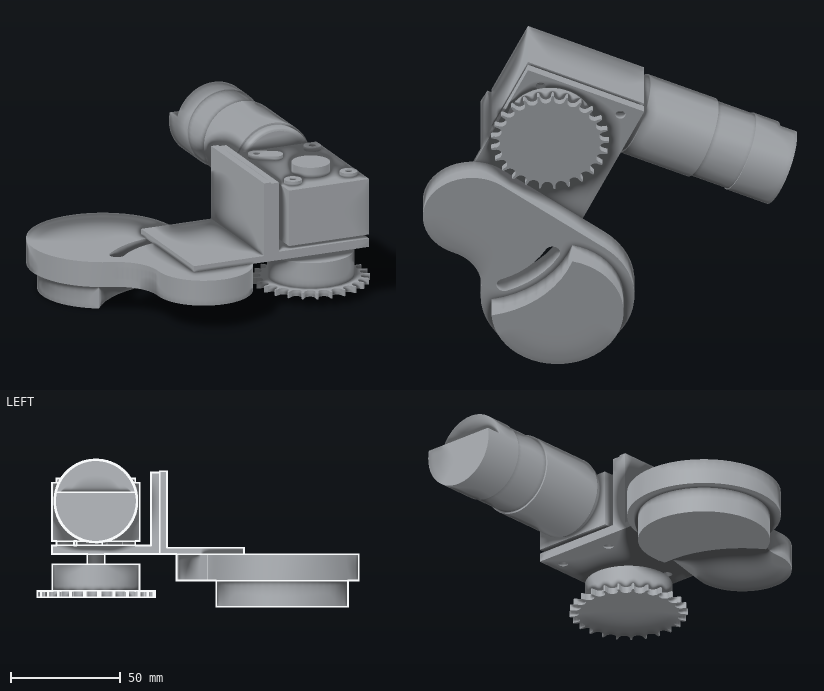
import cadquery as cq
import math


overall_length = 149.5

gearbox_left = -38.0
gearbox_length = 58.0
gearbox_width = 40.0
gearbox_height = 26.6
boss_height = 2.0
boss_diameter = 8.0
screw_hole_diameter = 3.3
screw_left = -28.8
screw_right = 10.9
screw_y = 13.9
long_boss_length = 8.0
long_boss_angle = 60
hub_boss_diameter = 17.6
top_hub_height = 5.0
shaft_diameter = 8.0

motor_axis_z = 24.2
end_tongue_length = 8.2
end_tongue_rise = 3.9
cap_diameter = 37.0
cap_length = 20.3
can_diameter = 36.0
can_length = 19.0
gearhead_diameter = 37.8
gearhead_length = 33.8
collar_diameter = can_diameter
collar_length = 3.9
collar_fillet = 2.0

motor_bracket_thickness = 4.0
motor_bracket_height = 37.2
bracket_joint_y = -29.0
arm_bracket_wall = 3.5
arm_bracket_base = 3.0
arm_bracket_height = 37.8
arm_bracket_reach = 38.4
bracket_screw_hole_diameter = 4.5

arm_thickness = 12.0
arm_big_radius = 35.0
arm_big_y = -84.6
arm_small_radius = 22.4
arm_centre_distance = 60.0
arm_angle = 25.3
arm_throat_radius = 20.0
slot_width = 7.0
slot_radius = 42.0
slot_half_angle = 20
disc_radius = 30.0
disc_thickness = 12.0
disc_relief_radius = 48.5

tooth_count = 25
sprocket_tip_radius = 26.9
sprocket_thickness = 3.0
pitch_radius = 25.3
roller_seat_radius = 2.5
tooth_tip_width = 0.7
hub_diameter = 39.8
hub_top_z = -4.5
hub_height = 12.1

gearbox_bottom = motor_bracket_thickness + boss_height
gearbox_top = gearbox_bottom + gearbox_height
sprocket_bottom = hub_top_z - hub_height - sprocket_thickness
screw_points = [(x, y) for x in (screw_left, screw_right) for y in (screw_y, -screw_y)]
round_boss_points = [p for p in screw_points if p != (screw_left, -screw_y)]


def polar(centre, radius, angle):
    """Point at a radius and an angle in degrees from a centre."""
    turn = math.radians(angle)
    return (centre[0] + radius * math.cos(turn), centre[1] + radius * math.sin(turn))


motor_end = gearbox_left - collar_length - gearhead_length - can_length - cap_length
arm_tip = motor_end + overall_length
arm_run = arm_centre_distance * math.cos(math.radians(arm_angle))
arm_big_centre = (arm_tip - arm_small_radius - arm_run, arm_big_y)
pivot = polar(arm_big_centre, arm_centre_distance, arm_angle)


def cylinder(centre, diameter, bottom, height):
    """Upright cylinder."""
    return cq.Workplane(origin=(centre[0], centre[1], bottom)).circle(diameter / 2).extrude(height)


def block(x_min, y_min, z_min, length, width, height):
    """Rectangular block placed by its lowest corner."""
    return cq.Workplane(origin=(x_min, y_min, z_min)).box(length, width, height, centered=False)


def drill(body, points, diameter, bottom, height):
    """Body with upright holes at the given points."""
    for point in points:
        body = body.cut(cylinder(point, diameter, bottom, height))
    return body


def foot_bosses(bottom):
    """Three round bosses and one long boss, one for each screw."""
    bosses = cq.Workplane(origin=(0, 0, bottom)).pushPoints(round_boss_points)
    bosses = bosses.circle(boss_diameter / 2).extrude(boss_height)
    middle = polar((screw_left, -screw_y), long_boss_length / 2, long_boss_angle)
    long_boss = cq.Workplane(origin=(middle[0], middle[1], bottom))
    long_boss = long_boss.slot2D(long_boss_length + boss_diameter, boss_diameter, long_boss_angle)
    return bosses.add(long_boss.extrude(boss_height)).combine()


def motor_section(end_x, diameter, length):
    """Cylinder on the motor axis that runs towards -X from the given X."""
    start = cq.Workplane("YZ", origin=(end_x, 0, motor_axis_z))
    return start.circle(diameter / 2).extrude(-length)


def make_motor():
    """Cap, can, gearhead and rounded collar in a row along X, up to the gearbox face."""
    motor = motor_section(gearbox_left, collar_diameter, collar_length)
    motor = motor.faces(">X").edges().fillet(collar_fillet)
    sections = [
        (gearhead_diameter, gearhead_length),
        (can_diameter, can_length),
        (cap_diameter, cap_length),
    ]
    end_x = gearbox_left - collar_length
    for diameter, length in sections:
        motor = motor.union(motor_section(end_x, diameter, length))
        end_x -= length
    above_tongue = block(
        motor_end,
        -cap_diameter / 2,
        motor_axis_z + end_tongue_rise,
        end_tongue_length,
        cap_diameter,
        cap_diameter / 2,
    )
    return motor.cut(above_tongue)


def make_gearmotor():
    """Gearbox with bosses, motor and output shaft in one body."""
    body = block(
        gearbox_left, -gearbox_width / 2, gearbox_bottom, gearbox_length, gearbox_width, gearbox_height
    )
    body = body.union(make_motor())
    body = body.union(foot_bosses(gearbox_top))
    body = body.union(foot_bosses(motor_bracket_thickness))
    body = body.union(cylinder((0, 0), hub_boss_diameter, gearbox_top, top_hub_height))
    body = body.union(cylinder((0, 0), hub_boss_diameter, motor_bracket_thickness, boss_height))
    body = body.union(cylinder((0, 0), shaft_diameter, sprocket_bottom, gearbox_bottom - sprocket_bottom))
    drill_depth = gearbox_height + 2 * boss_height
    return drill(body, screw_points, screw_hole_diameter, motor_bracket_thickness, drill_depth)


def make_motor_bracket():
    """Angle that carries the gearbox, drilled for its screws and its shaft."""
    thickness = motor_bracket_thickness
    reach = gearbox_width / 2 - bracket_joint_y
    base = block(gearbox_left, bracket_joint_y, 0, gearbox_length, reach, thickness)
    wall = block(gearbox_left, bracket_joint_y, 0, gearbox_length, thickness, motor_bracket_height)
    bracket = base.union(wall)
    bracket = drill(bracket, screw_points, bracket_screw_hole_diameter, 0, thickness)
    return drill(bracket, [(0, 0)], shaft_diameter, 0, thickness)


def make_arm_bracket():
    """Angle that rests on the swing arm."""
    end_y = bracket_joint_y - arm_bracket_reach
    wall_y = bracket_joint_y - arm_bracket_wall
    base = block(gearbox_left, end_y, 0, gearbox_length, arm_bracket_reach, arm_bracket_base)
    wall = block(gearbox_left, wall_y, 0, gearbox_length, arm_bracket_wall, arm_bracket_height)
    return base.union(wall)


def angle_beside(side_a, side_b, opposite):
    """Angle in degrees between two sides of a triangle, from its three sides."""
    cosine = (side_a**2 + side_b**2 - opposite**2) / (2 * side_a * side_b)
    return math.degrees(math.acos(cosine))


def make_arm():
    """Two round ends joined by a straight tangent on one side and a concave arc on the other."""
    tangent = arm_angle + math.degrees(math.acos((arm_big_radius - arm_small_radius) / arm_centre_distance))
    big_to_throat = arm_big_radius + arm_throat_radius
    small_to_throat = arm_small_radius + arm_throat_radius
    at_big = arm_angle - angle_beside(big_to_throat, arm_centre_distance, small_to_throat)
    at_pivot = arm_angle - 180 + angle_beside(small_to_throat, arm_centre_distance, big_to_throat)
    throat_centre = polar(arm_big_centre, big_to_throat, at_big)
    throat_middle = (at_big + at_pivot) / 2 + 180
    arm = (
        cq.Workplane()
        .moveTo(*polar(arm_big_centre, arm_big_radius, tangent))
        .threePointArc(
            polar(arm_big_centre, arm_big_radius, (tangent + at_big + 360) / 2),
            polar(arm_big_centre, arm_big_radius, at_big),
        )
        .threePointArc(
            polar(throat_centre, arm_throat_radius, throat_middle),
            polar(pivot, arm_small_radius, at_pivot),
        )
        .threePointArc(
            polar(pivot, arm_small_radius, (at_pivot + tangent) / 2),
            polar(pivot, arm_small_radius, tangent),
        )
        .close()
        .extrude(-arm_thickness)
    )
    return arm.cut(make_arm_slot())


def make_arm_slot():
    """Round-ended slot that follows an arc about the pivot."""
    middle = arm_angle + 180
    first = middle - slot_half_angle
    last = middle + slot_half_angle
    outer = slot_radius + slot_width / 2
    inner = slot_radius - slot_width / 2
    return (
        cq.Workplane()
        .moveTo(*polar(pivot, outer, first))
        .threePointArc(polar(pivot, outer, middle), polar(pivot, outer, last))
        .tangentArcPoint(polar(pivot, inner, last), relative=False)
        .threePointArc(polar(pivot, inner, middle), polar(pivot, inner, first))
        .tangentArcPoint(polar(pivot, outer, first), relative=False)
        .close()
        .extrude(-arm_thickness)
    )


def make_disc():
    """Disc under the big end of the arm, hollowed on the side of the slot."""
    bottom = -arm_thickness - disc_thickness
    disc = cylinder(arm_big_centre, 2 * disc_radius, bottom, disc_thickness)
    return disc.cut(cylinder(pivot, 2 * disc_relief_radius, bottom, disc_thickness))


def make_sprocket():
    """Toothed plate with a hub above it and a through bore for the shaft."""
    pitch_angle = 360 / tooth_count
    half_tip = math.degrees(tooth_tip_width / 2 / sprocket_tip_radius)
    half_seat = math.degrees(math.atan(roller_seat_radius / pitch_radius))
    seat_edge = math.hypot(pitch_radius, roller_seat_radius)
    root_radius = pitch_radius - roller_seat_radius
    centre = (0, 0)
    first_tooth = 90 - pitch_angle / 2
    outline = cq.Workplane(origin=(0, 0, sprocket_bottom))
    outline = outline.moveTo(*polar(centre, sprocket_tip_radius, first_tooth - half_tip))
    for tooth in range(tooth_count):
        tip = first_tooth + tooth * pitch_angle
        gap = tip + pitch_angle / 2
        outline = (
            outline.lineTo(*polar(centre, sprocket_tip_radius, tip + half_tip))
            .lineTo(*polar(centre, seat_edge, gap - half_seat))
            .threePointArc(polar(centre, root_radius, gap), polar(centre, seat_edge, gap + half_seat))
        )
        if tooth < tooth_count - 1:
            outline = outline.lineTo(*polar(centre, sprocket_tip_radius, tip + pitch_angle - half_tip))
    plate = outline.close().extrude(sprocket_thickness)
    sprocket = plate.union(cylinder(centre, hub_diameter, hub_top_z - hub_height, hub_height))
    bore_depth = hub_height + sprocket_thickness
    return drill(sprocket, [centre], shaft_diameter, sprocket_bottom, bore_depth)


gearmotor = make_gearmotor()
motor_bracket = make_motor_bracket()
arm_bracket = make_arm_bracket()
arm = make_arm()
disc = make_disc()
sprocket = make_sprocket()

bodies = [gearmotor, motor_bracket, arm_bracket, arm, disc, sprocket]
result = cq.Compound.makeCompound([body.solids().val() for body in bodies])